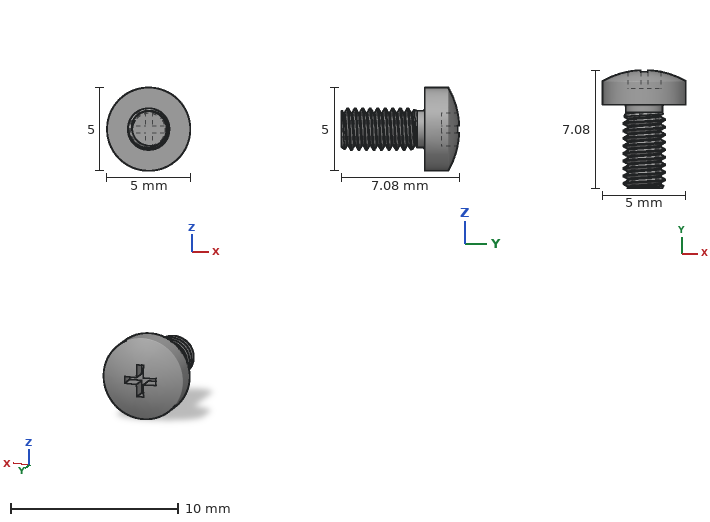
import cadquery as cq
import math


head_diameter = 5.0
head_radius = head_diameter / 2
dome_apex = 2.09
dome_radius = 5.0
rim_fillet = 0.05

recess_arm_width = 0.42
recess_reach = 0.98
recess_depth = 1.1

shank_length = 5.0
neck_radius = 1.105
neck_length = 0.45
neck_fillet = 0.1

major_radius = 1.25
pitch = 0.45
flank_half_angle = math.radians(30)
crest_width = pitch / 8
thread_depth = 0.6134 * pitch
minor_radius = major_radius - thread_depth
crest_offset = 0.44
runout_length = 0.41
tip_radius = 1.07
tip_chamfer_length = 0.29
core_overlap = 0.03
trim_margin = 0.15
trim_reach = 1.5

dish_radius = 1.017
dish_depth = 0.035


def revolve_about_axis(sketch):
    """Revolve a closed half profile (radius, height) about the screw axis."""
    return sketch.close().revolve(360, (0, 0, 0), (0, 1, 0))


def dome_height(radius):
    """Height of the domed top above the head underside, at a distance from the axis."""
    return dome_apex - dome_radius + math.sqrt(dome_radius**2 - radius**2)


def make_head():
    rim_height = dome_height(head_radius)
    mid_radius = head_radius / 2
    mid_height = dome_height(mid_radius)
    profile = (
        cq.Workplane("XY")
        .lineTo(head_radius, 0)
        .lineTo(head_radius, rim_height)
        .threePointArc((mid_radius, mid_height), (0, dome_apex))
    )
    return revolve_about_axis(profile).faces("%CYLINDER").edges("%CIRCLE").fillet(rim_fillet)


def make_cross_recess():
    center_height = dome_apex - recess_depth / 2
    arm = cq.Workplane("XY").box(2 * recess_reach, recess_depth, recess_arm_width)
    cross = arm.union(arm.rotate((0, 0, 0), (0, 1, 0), 90))
    return cross.translate((0, center_height, 0))


def make_neck():
    """Plain neck with a concave fillet under the head."""
    flare_radius = neck_radius + neck_fillet
    diagonal = neck_fillet * (1 - math.sqrt(0.5))
    profile = (
        cq.Workplane("XY")
        .lineTo(flare_radius, 0)
        .threePointArc((neck_radius + diagonal, -diagonal), (neck_radius, -neck_fillet))
        .lineTo(neck_radius, -neck_length)
        .lineTo(0, -neck_length)
    )
    return revolve_about_axis(profile)


def make_end_trim(face_height, face_radius, taper_length, outward):
    """Solid beyond one end of the thread, reaching back over it as a hollow cone.

    The cone widens from face_radius at face_height to the major radius over taper_length.
    outward is +1 at the neck and -1 at the tip.
    """
    taper_slope = taper_length / (major_radius - face_radius)
    outer_radius = major_radius + trim_margin
    cone_height = face_height - outward * (outer_radius - face_radius) * taper_slope
    far_height = face_height + outward * trim_reach
    profile = (
        cq.Workplane("XY")
        .moveTo(0, face_height)
        .lineTo(face_radius, face_height)
        .lineTo(outer_radius, cone_height)
        .lineTo(outer_radius, far_height)
        .lineTo(0, far_height)
    )
    return revolve_about_axis(profile)


def make_thread_ridge():
    """Right-handed ridge, starting below the tip and ending above the neck."""
    turns = math.ceil((shank_length - crest_offset) / pitch) + 2
    start = -crest_offset - (turns - 1) * pitch
    base_radius = minor_radius - core_overlap
    half_crest = crest_width / 2
    half_base = half_crest + (major_radius - base_radius) * math.tan(flank_half_angle)
    helix = cq.Wire.makeHelix(pitch, turns * pitch, base_radius)
    ridge = (
        cq.Workplane("XZ")
        .moveTo(base_radius, -half_base)
        .lineTo(major_radius, -half_crest)
        .lineTo(major_radius, half_crest)
        .lineTo(base_radius, half_base)
        .close()
        .sweep(cq.Workplane(helix), isFrenet=True)
    )
    return ridge.rotate((0, 0, 0), (1, 0, 0), -90).translate((0, start, 0))


def make_threaded_shank():
    core_length = shank_length - neck_length
    core = (
        cq.Workplane("XZ", origin=(0, -neck_length, 0))
        .circle(minor_radius)
        .extrude(core_length)
    )
    neck_trim = make_end_trim(-neck_length, neck_radius, runout_length, 1)
    tip_trim = make_end_trim(-shank_length, tip_radius, tip_chamfer_length, -1)
    return core.union(make_thread_ridge().cut(neck_trim).cut(tip_trim))


def make_tip_dish():
    """Very shallow conical hollow in the tip face."""
    profile = (
        cq.Workplane("XY")
        .moveTo(0, -shank_length)
        .lineTo(dish_radius, -shank_length)
        .lineTo(0, -shank_length + dish_depth)
    )
    return revolve_about_axis(profile)


head = make_head().cut(make_cross_recess())
shank = make_neck().union(make_threaded_shank()).cut(make_tip_dish())
result = head.union(shank)